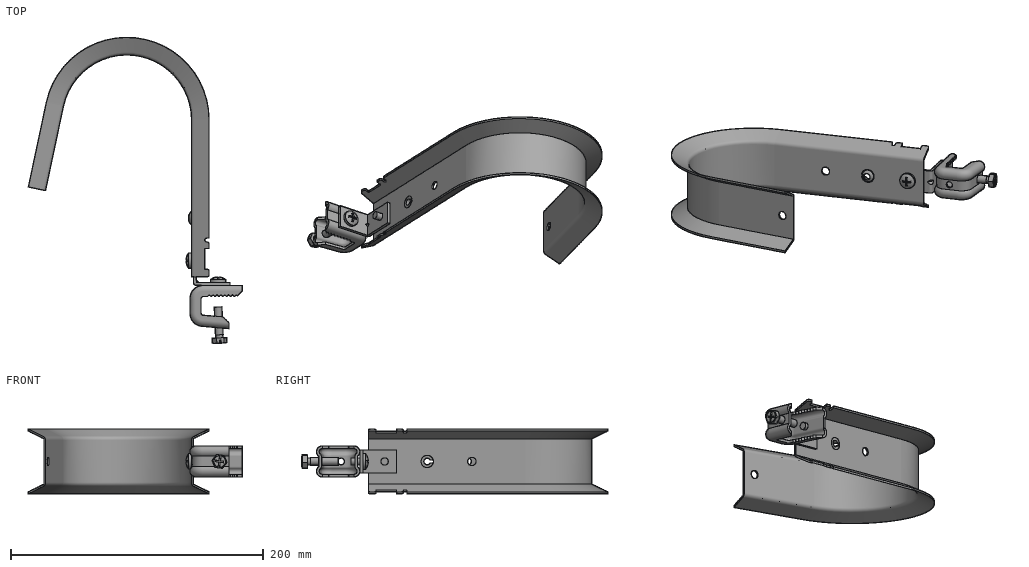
import cadquery as cq
import math


HOOK_RADIUS = 65.3
HOOK_HALF_HEIGHT = 25.7
HOOK_SHEET = 1.5
FLANGE_RISE = 26
FLANGE_BEND = 3.5
WEB_HALF_HEIGHT = 16.7
HOOK_SWEEP = 168
SHANK_END_Y = -124.5
TAIL_LENGTH = 68.5
HOOK_HOLE = 6.5
SHANK_HOLE_Y = -42.5
TAIL_HOLE_TO_END = 10.2

NOTCH_FLOOR_X = 62.0
TAB_ROUND = 1.7
SLOT_Y = -95.4
SLOT_WIDTH = 3.0
WIDE_NOTCH_TOP_Y = -102.2
WIDE_NOTCH_BOTTOM_Y = -118.5

BUSHING_Y = -78.0
BUSHING_HEAD = 10.7
BUSHING_BODY = 9.7
BUSHING_BORE = 5.0
BUSHING_DOME = 2.7
BUSHING_SLIT = 2.2

SCREW_HEAD = 12.4
SCREW_RIM = 2.2
SCREW_DOME = 2.2
SCREW_SHANK = 5.8
SCREW_LENGTH = 9.2
RECESS_LENGTH = 7.0
RECESS_WIDTH = 1.2
RECESS_DEPTH = 2.5
HOOK_SCREW_Y = -111.6
CLAMP_SCREW_X = 72.3

BRACKET_SHEET = 2.5
BRACKET_WIDTH = 18.5
BRACKET_TOP_Y = -128.9
BRACKET_END_X = 81.8
GUSSET_SPREAD = 1.1
GUSSET_DENT = 4.0
GUSSET_BUMP = 2.0

CLAMP_DEPTH = 9.0
CLAMP_HALF_WIDTH = 12.4
CLAMP_SHEET = 2.2
CLAMP_BEAD = 4.5
CLAMP_RECESS = 1.7
CLAMP_WEB_HALF = 4.1
CLAMP_BEND = 10.5
CLAMP_BEND_X = 60.5
CLAMP_BACK_LENGTH = 11.6
UPPER_JAW_END_X = 91.5
LOWER_JAW_END_X = 81.0
JAW_SLOPE = 5
TOOTH_COUNT = 8
TOOTH_START_X = 63.8
TOOTH_END_X = 88.3
TOOTH_DEPTH = 1.5
CLAMP_HOLE = 5.0
CLAMP_HOLE_Y = -146.0

JACK_TIP_X = 72.3
JACK_END_Y = -177.5
JACK_TILT = 2.5
JACK_THREAD = 6.3
JACK_THREAD_LENGTH = 22.0
JACK_NECK = 5.8
JACK_NECK_LENGTH = 2.5
JACK_HEAD = 12.0
JACK_HEAD_HEIGHT = 4.4
JACK_HEAD_TURN = -8
JACK_CROWN_RADIUS = 4.5
JACK_CROWN_DROP = 0.5
JACK_SLOT_WIDTH = 1.2
JACK_SLOT_DEPTH = 2.5
JACK_CROSS_LENGTH = 6.3

rise = math.radians(FLANGE_RISE)
flange_length = (HOOK_HALF_HEIGHT - WEB_HALF_HEIGHT - FLANGE_BEND * math.cos(rise)) / math.sin(rise)
web_x = HOOK_RADIUS - FLANGE_BEND * (1 - math.sin(rise)) - flange_length * math.cos(rise)
web_inner_x = web_x + HOOK_SHEET
bracket_leg_x = web_inner_x + BRACKET_SHEET
clamp_top_y = BRACKET_TOP_Y - BRACKET_SHEET
tooth_pitch = (TOOTH_END_X - TOOTH_START_X) / TOOTH_COUNT
upper_bend_y = clamp_top_y - CLAMP_BEND
lower_bend_y = upper_bend_y - CLAMP_BACK_LENGTH
jack_tilt = math.radians(JACK_TILT)
jack_length = JACK_THREAD_LENGTH + JACK_NECK_LENGTH + JACK_HEAD_HEIGHT
jack_tip_y = JACK_END_Y + jack_length * math.cos(jack_tilt) + JACK_CROWN_RADIUS * math.sin(jack_tilt)
OVERCUT = 12.1


def mirrored(points):
    """Points (x, z) reflected to the other side of the mid-plane."""
    return [(x, -z) for x, z in points]


def drill_x(diameter, x, y):
    """Cylinder along X, centred on the mid-plane, spanning the sheets near x."""
    return cq.Workplane("YZ", origin=(x - OVERCUT / 2, y, 0)).circle(diameter / 2).extrude(OVERCUT)


def drill_y(diameter, x, y):
    """Cylinder along Y, centred on the mid-plane, spanning the sheets near y."""
    return cq.Workplane("XZ", origin=(x, y + OVERCUT / 2, 0)).circle(diameter / 2).extrude(OVERCUT)


def turned(profile):
    """Solid of revolution about Z from a closed profile in the XZ plane."""
    return profile.close().revolve(360, (0, 0), (0, 1))


def domed_head(radius, rim, dome):
    """Round head standing on Z = 0: a cylindrical rim under a spherical dome."""
    sphere = (radius ** 2 + dome ** 2) / (2 * dome)
    middle = radius / 2
    middle_z = rim + dome - sphere + math.sqrt(sphere ** 2 - middle ** 2)
    profile = cq.Workplane("XZ").lineTo(radius, 0)
    if rim > 0:
        profile = profile.lineTo(radius, rim)
    return turned(profile.threePointArc((middle, middle_z), (0, rim + dome)))


def hook_section():
    """Channel cross-section: flared flanges, bends rounded outside and sharp inside."""
    centre_x = web_x + FLANGE_BEND

    def on_bend(angle):
        return (centre_x - FLANGE_BEND * math.sin(angle), WEB_HALF_HEIGHT + FLANGE_BEND * math.cos(angle))

    outer = [on_bend(a) for a in (math.pi / 2, (rise + math.pi / 2) / 2, rise)]
    outer_tip = (HOOK_RADIUS, HOOK_HALF_HEIGHT)
    inner_tip = (HOOK_RADIUS, HOOK_HALF_HEIGHT - HOOK_SHEET / math.cos(rise))
    inner_corner = (web_inner_x, inner_tip[1] - (HOOK_RADIUS - web_inner_x) * math.tan(rise))
    low_outer = mirrored(outer)
    low_outer_tip, low_inner_tip, low_inner_corner = mirrored([outer_tip, inner_tip, inner_corner])
    return (
        cq.Workplane("XZ")
        .moveTo(*low_outer[0]).lineTo(*outer[0])
        .threePointArc(outer[1], outer[2]).lineTo(*outer_tip)
        .lineTo(*inner_tip).lineTo(*inner_corner)
        .lineTo(*low_inner_corner).lineTo(*low_inner_tip)
        .lineTo(*low_outer_tip).lineTo(*low_outer[2])
        .threePointArc(low_outer[1], low_outer[0])
        .close()
    )


def flange_notches():
    """Cutter for the slot, the wide notch and the rounded tabs of both flange edges."""
    beyond_x = HOOK_RADIUS + OVERCUT
    half_slot = SLOT_WIDTH / 2
    round_x = HOOK_RADIUS - TAB_ROUND
    arc_offset = TAB_ROUND * (1 - math.sqrt(0.5))
    arc_x = HOOK_RADIUS - arc_offset
    slot_bottom = SLOT_Y - half_slot
    outline = (
        cq.Workplane("XY", origin=(0, 0, -HOOK_HALF_HEIGHT - OVERCUT))
        .moveTo(beyond_x, SLOT_Y + half_slot)
        .lineTo(NOTCH_FLOOR_X + half_slot, SLOT_Y + half_slot)
        .threePointArc((NOTCH_FLOOR_X, SLOT_Y), (NOTCH_FLOOR_X + half_slot, slot_bottom))
        .lineTo(round_x, slot_bottom)
        .threePointArc((arc_x, slot_bottom - arc_offset), (HOOK_RADIUS, slot_bottom - TAB_ROUND))
        .lineTo(HOOK_RADIUS, WIDE_NOTCH_TOP_Y)
        .lineTo(NOTCH_FLOOR_X, WIDE_NOTCH_TOP_Y)
        .lineTo(NOTCH_FLOOR_X, WIDE_NOTCH_BOTTOM_Y)
        .lineTo(round_x, WIDE_NOTCH_BOTTOM_Y)
        .threePointArc((arc_x, WIDE_NOTCH_BOTTOM_Y - arc_offset),
                       (HOOK_RADIUS, WIDE_NOTCH_BOTTOM_Y - TAB_ROUND))
        .lineTo(HOOK_RADIUS, SHANK_END_Y + TAB_ROUND)
        .threePointArc((arc_x, SHANK_END_Y + arc_offset), (round_x, SHANK_END_Y))
        .lineTo(round_x, SHANK_END_Y - OVERCUT)
        .lineTo(beyond_x, SHANK_END_Y - OVERCUT)
        .close()
    )
    return outline.extrude(2 * (HOOK_HALF_HEIGHT + OVERCUT))


def make_hook():
    """Straight shank with notches and holes, circular bend, and straight tail."""
    shank = hook_section().extrude(-SHANK_END_Y).cut(flange_notches())
    for diameter, y in (
        (HOOK_HOLE, SHANK_HOLE_Y),
        (BUSHING_BODY, BUSHING_Y),
        (SCREW_SHANK, HOOK_SCREW_Y),
    ):
        shank = shank.cut(drill_x(diameter, web_x, y))
    bend = hook_section().revolve(HOOK_SWEEP, (0, 0), (0, 1))
    tail = hook_section().extrude(-TAIL_LENGTH).cut(drill_x(HOOK_HOLE, web_x, TAIL_LENGTH - TAIL_HOLE_TO_END))
    tail = tail.rotate((0, 0, 0), (0, 0, 1), HOOK_SWEEP)
    return shank.union(bend).union(tail)


def make_bushing():
    """Domed collar seated in the web, slit through on its +Y side."""
    head = domed_head(BUSHING_HEAD / 2, 0, BUSHING_DOME)
    head = head.rotate((0, 0, 0), (0, 1, 0), -90).translate((web_x, BUSHING_Y, 0))
    body = cq.Workplane("YZ", origin=(web_x, BUSHING_Y, 0)).circle(BUSHING_BODY / 2).extrude(HOOK_SHEET)
    slit = cq.Workplane("XY", origin=(web_x, BUSHING_Y, 0)).box(
        OVERCUT, BUSHING_HEAD, BUSHING_SLIT, centered=(True, False, True))
    return head.union(body).cut(drill_x(BUSHING_BORE, web_x, BUSHING_Y)).cut(slit)


def make_screw():
    """Screw along Z: the head sits above Z = 0 and the shank hangs below."""
    head_height = SCREW_RIM + SCREW_DOME
    shank = cq.Workplane("XY").circle(SCREW_SHANK / 2).extrude(-SCREW_LENGTH)
    screw = domed_head(SCREW_HEAD / 2, SCREW_RIM, SCREW_DOME).union(shank)
    for length_x, length_y in ((RECESS_LENGTH, RECESS_WIDTH), (RECESS_WIDTH, RECESS_LENGTH)):
        recess = cq.Workplane("XY", origin=(0, 0, head_height - RECESS_DEPTH)).box(
            length_x, length_y, OVERCUT, centered=(True, True, False))
        screw = screw.cut(recess)
    return screw


def make_hook_screw():
    return make_screw().rotate((0, 0, 0), (0, 1, 0), -90).translate((web_x, HOOK_SCREW_Y, 0))


def make_clamp_screw():
    return make_screw().rotate((0, 0, 0), (1, 0, 0), -90).translate((CLAMP_SCREW_X, BRACKET_TOP_Y, 0))


def gusset_wedge(corner_x, corner_y, reach):
    """Bar whose V edge crosses a corner diagonally, meeting both faces `reach` from it."""
    bar = (
        cq.Workplane("YZ", origin=(-OVERCUT, 0, 0))
        .moveTo(0, 0)
        .lineTo(-BRACKET_SHEET, GUSSET_SPREAD * BRACKET_SHEET)
        .lineTo(-BRACKET_SHEET, -GUSSET_SPREAD * BRACKET_SHEET)
        .close()
        .extrude(2 * OVERCUT)
    )
    middle = (corner_x + reach / 2, corner_y + reach / 2, 0)
    return bar.rotate((0, 0, 0), (0, 0, 1), -45).translate(middle)


def make_bracket():
    """L-shaped strip: one leg along the hook web, the other across the top of the clamp."""
    screw_to_end = BRACKET_END_X - CLAMP_SCREW_X
    leg_end_y = HOOK_SCREW_Y + screw_to_end
    half_width = BRACKET_WIDTH / 2
    bracket = (
        cq.Workplane("XY", origin=(0, 0, -half_width))
        .moveTo(web_inner_x, leg_end_y)
        .lineTo(web_inner_x, BRACKET_TOP_Y)
        .radiusArc((bracket_leg_x, clamp_top_y), -BRACKET_SHEET)
        .lineTo(BRACKET_END_X, clamp_top_y)
        .lineTo(BRACKET_END_X, BRACKET_TOP_Y)
        .lineTo(bracket_leg_x, BRACKET_TOP_Y)
        .lineTo(bracket_leg_x, leg_end_y)
        .close()
        .extrude(BRACKET_WIDTH)
    )
    inner_quadrant = cq.Workplane("XY", origin=(bracket_leg_x, BRACKET_TOP_Y, 0)).box(
        OVERCUT, OVERCUT, BRACKET_WIDTH, centered=(False, False, True))
    bump = gusset_wedge(bracket_leg_x, BRACKET_TOP_Y, GUSSET_BUMP).intersect(inner_quadrant)
    return (
        bracket.union(bump)
        .cut(gusset_wedge(web_inner_x, clamp_top_y, GUSSET_DENT))
        .cut(drill_x(SCREW_SHANK, web_inner_x, HOOK_SCREW_Y))
        .cut(drill_y(SCREW_SHANK, CLAMP_SCREW_X, BRACKET_TOP_Y))
    )


def clamp_section():
    """Upper half of the clamp's cross-section in the YZ plane, with the bend axis at the origin."""
    bead_y = CLAMP_BEND - CLAMP_BEAD
    bead_z = CLAMP_HALF_WIDTH - CLAMP_BEAD
    groove = CLAMP_BEAD - CLAMP_SHEET
    edge_y = CLAMP_BEND - CLAMP_DEPTH
    web_outer_y = CLAMP_BEND - CLAMP_RECESS
    web_inner_y = web_outer_y - CLAMP_SHEET
    step_y = web_inner_y - bead_y
    step_z = bead_z - CLAMP_WEB_HALF
    shoulder = (step_z ** 2 + step_y ** 2 - groove ** 2) / (2 * (groove - step_y))
    toward_shoulder = math.atan2(-step_z, step_y + shoulder)
    tangent = (bead_y + groove * math.cos(toward_shoulder), bead_z + groove * math.sin(toward_shoulder))
    half_turn = toward_shoulder / 2
    shoulder_mid = (web_inner_y + shoulder * (1 - math.cos(half_turn)),
                    CLAMP_WEB_HALF - shoulder * math.sin(half_turn))

    return (
        cq.Workplane("YZ")
        .moveTo(web_inner_y, 0)
        .lineTo(web_outer_y, 0)
        .lineTo(web_outer_y, CLAMP_WEB_HALF)
        .threePointArc((CLAMP_BEND, bead_z), (bead_y, CLAMP_HALF_WIDTH))
        .lineTo(edge_y, CLAMP_HALF_WIDTH)
        .lineTo(edge_y, CLAMP_HALF_WIDTH - CLAMP_SHEET)
        .lineTo(bead_y, CLAMP_HALF_WIDTH - CLAMP_SHEET)
        .threePointArc((bead_y + groove, bead_z), tangent)
        .threePointArc(shoulder_mid, (web_inner_y, CLAMP_WEB_HALF))
        .close()
    )


def both_halves(half):
    """Join the upper half of the clamp to its mirror image below the mid-plane."""
    return half.union(half.mirror("XY"))


def prism_z(points):
    """Cutter with an XY outline that spans the full width of the clamp."""
    half_span = CLAMP_HALF_WIDTH + OVERCUT
    return cq.Workplane("XY", origin=(0, 0, -half_span)).polyline(points).close().extrude(2 * half_span)


def upper_jaw_teeth():
    edge_y = clamp_top_y - CLAMP_DEPTH
    points = [(TOOTH_START_X, edge_y - OVERCUT), (TOOTH_START_X, edge_y)]
    for tooth in range(TOOTH_COUNT):
        start_x = TOOTH_START_X + tooth * tooth_pitch
        points.append((start_x + tooth_pitch / 2, edge_y + TOOTH_DEPTH))
        points.append((start_x + tooth_pitch, edge_y))
    points.append((TOOTH_END_X, edge_y - OVERCUT))
    return prism_z(points)


def upper_jaw_bevel():
    start_y = clamp_top_y - CLAMP_BEAD
    end_x = UPPER_JAW_END_X
    return prism_z([(end_x, start_y), (end_x, start_y - OVERCUT), (end_x - OVERCUT, start_y - OVERCUT)])


def lower_jaw_end():
    """Square end across the beads, bevelled at 45 degrees above them."""
    slope = math.radians(JAW_SLOPE)
    end_x = LOWER_JAW_END_X
    drop = (end_x - CLAMP_BEND_X) * math.tan(slope)
    bevel_y = lower_bend_y - (CLAMP_BEND - CLAMP_BEAD) / math.cos(slope) - drop
    beyond_x = end_x + OVERCUT
    return prism_z([
        (end_x, bevel_y - OVERCUT),
        (end_x, bevel_y),
        (end_x - OVERCUT, bevel_y + OVERCUT),
        (beyond_x, bevel_y + OVERCUT),
        (beyond_x, bevel_y - OVERCUT),
    ])


def make_clamp():
    axis = ((0, 0, 0), (0, 0, 1))
    upper_bend = (CLAMP_BEND_X, upper_bend_y, 0)
    lower_bend = (CLAMP_BEND_X, lower_bend_y, 0)
    lower_turn = 90 - JAW_SLOPE
    lower_jaw_length = LOWER_JAW_END_X - CLAMP_BEND_X + CLAMP_BEAD

    upper_jaw = clamp_section().extrude(UPPER_JAW_END_X - CLAMP_BEND_X).translate(upper_bend)
    upper_corner = clamp_section().revolve(90, (0, 0), (0, 1)).translate(upper_bend)
    back = clamp_section().extrude(-CLAMP_BACK_LENGTH).rotate(*axis, 90).translate(upper_bend)
    lower_corner = clamp_section().revolve(lower_turn, (0, 0), (0, 1)).rotate(*axis, 90)
    lower_corner = lower_corner.translate(lower_bend)
    lower_jaw = clamp_section().extrude(-lower_jaw_length).rotate(*axis, 90 + lower_turn)
    lower_jaw = lower_jaw.translate(lower_bend).cut(lower_jaw_end())

    half = upper_jaw.union(upper_corner).union(back).union(lower_corner).union(lower_jaw)
    return (
        both_halves(half)
        .cut(upper_jaw_teeth())
        .cut(upper_jaw_bevel())
        .cut(drill_x(CLAMP_HOLE, CLAMP_BEND_X - CLAMP_BEND, CLAMP_HOLE_Y))
        .cut(drill_y(SCREW_SHANK, CLAMP_SCREW_X, clamp_top_y))
        .cut(place_jack(jack_thread()))
    )


def jack_thread():
    return cq.Workplane("XY").circle(JACK_THREAD / 2).extrude(JACK_THREAD_LENGTH)


def place_jack(body):
    """Move a body built along +Z from the tip onto the tilted jack axis, pointing along -Y."""
    return (
        body.rotate((0, 0, 0), (1, 0, 0), 90)
        .rotate((0, 0, 0), (0, 0, 1), JACK_TILT)
        .translate((JACK_TIP_X, jack_tip_y, 0))
    )


def make_jack_screw():
    """Plain thread, reduced neck and a slotted hexagon head with a coned crown."""
    head_z = JACK_THREAD_LENGTH + JACK_NECK_LENGTH
    end_z = head_z + JACK_HEAD_HEIGHT
    neck = (
        cq.Workplane("XY", origin=(0, 0, JACK_THREAD_LENGTH))
        .circle(JACK_NECK / 2).extrude(JACK_NECK_LENGTH)
    )
    hexagon = cq.Workplane("XY", origin=(0, 0, head_z)).polygon(6, JACK_HEAD).extrude(JACK_HEAD_HEIGHT)
    crown = turned(
        cq.Workplane("XZ")
        .moveTo(0, head_z)
        .lineTo(JACK_HEAD / 2, head_z)
        .lineTo(JACK_HEAD / 2, end_z - JACK_CROWN_DROP)
        .lineTo(JACK_CROWN_RADIUS, end_z)
        .lineTo(0, end_z)
    )
    head = hexagon.intersect(crown)
    for length_x, length_y in (
        (JACK_SLOT_WIDTH, JACK_HEAD),
        (JACK_CROSS_LENGTH, JACK_SLOT_WIDTH),
    ):
        slot = cq.Workplane("XY", origin=(0, 0, end_z - JACK_SLOT_DEPTH)).box(
            length_x, length_y, OVERCUT, centered=(True, True, False))
        head = head.cut(slot)
    head = head.rotate((0, 0, 0), (0, 0, 1), JACK_HEAD_TURN)
    return place_jack(jack_thread().union(neck).union(head))


hook = make_hook()
bushing = make_bushing()
hook_screw = make_hook_screw()
clamp_screw = make_clamp_screw()
bracket = make_bracket()
clamp = make_clamp()
jack_screw = make_jack_screw()

result = cq.Compound.makeCompound([
    hook.val(),
    bushing.val(),
    hook_screw.val(),
    clamp_screw.val(),
    bracket.val(),
    clamp.val(),
    jack_screw.val(),
])